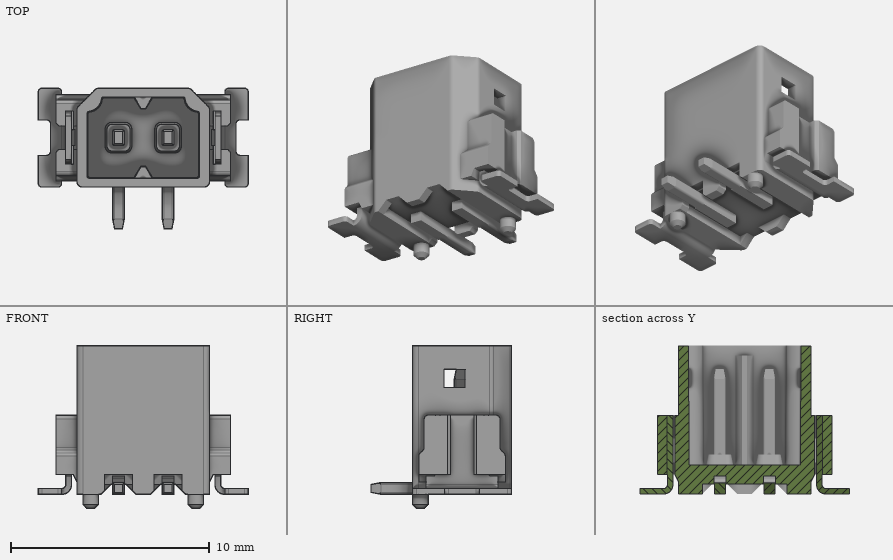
import cadquery as cq
import math

SIDES = (-1, 1)
CUT_CLEARANCE = 1.0

body_length = 6.7
body_width = 5.0
body_height = 7.5
key_chamfer = 1.0
body_corner_radius = 0.3
half_length = body_length / 2
half_width = body_width / 2

floor_z = 1.5
mouth_half_length = 2.83
mouth_half_width = 2.05
wall_draft = 0.04
corner_bump_radius = 0.73
cavity_corner_radius = 0.1

rib_top_z = 7.0
rib_half_base = 0.45
rib_half_tip = 0.12
rib_depth = 0.57

window_width = 1.06
window_height = 0.9
window_center_y = -0.38
window_bottom_z = 5.4

pin_pitch = 2.5
pin_thickness = 0.6
leg_depth = 0.8
pin_top_z = 6.3
tail_end_y = -4.6
pin_edge_radius = 0.1
pin_taper_length = 0.5
pin_taper_inset = 0.1
pin_bend_radius = 0.2
pin_x_positions = [side * pin_pitch / 2 for side in SIDES]

pad_length = 1.35
pad_width = 1.55
pad_height = 0.5
pad_corner_radius = 0.35
pad_side_inset = 0.1

channel_depth = 0.5
channel_half_ceiling = 0.38
notch_width = 1.4
notch_height = 1.0
underside_wall_thickness = 0.5
recess_half_length = pin_pitch / 2 + channel_half_ceiling + channel_depth
tail_slot_height = 0.92

post_radius = 0.4
post_length = 0.7
post_tip_chamfer = 0.2
post_x = 2.65
post_y = post_radius - half_width

wing_outer_x = 4.4
wing_bottom_z = 1.0
wing_top_z = 4.0
wing_lower_half_width = 2.18
wing_upper_half_width = 1.91
wing_step_z = 2.02
wing_blend_radius = 0.2
gusset_bottom_z = 0.62

tab_thickness = 0.3
tab_outer_x = 3.91
tab_inner_x = tab_outer_x - tab_thickness
tab_half_width = 1.34
tab_shoulder_z = 0.92
tab_shoulder_half_width = 1.81
tab_tip_inset = 0.24
tab_tip_height = 0.5
tab_shoulder_flare = wing_bottom_z - tab_shoulder_z
tab_bend_radius = 0.2
foot_end_x = 5.3
foot_half_width = 2.5
foot_corner_radius = 0.2
foot_recess_half_width = 0.89
foot_recess_depth = 0.62
foot_recess_radius = 0.2
foot_start_x = tab_outer_x + tab_bend_radius
bump_half_width = 0.4
bump_height = 0.17
bump_bottom_z = 1.6
bump_top_z = 2.8
slot_inner_x = 3.53
opening_half_width = 0.59
opening_flare = 0.15


def block(x_range, y_range, z_range):
    """Box spanning the given ranges."""
    (x0, x1), (y0, y1), (z0, z1) = x_range, y_range, z_range
    corner = cq.Vector(x0, y0, z0)
    return cq.Workplane(cq.Solid.makeBox(x1 - x0, y1 - y0, z1 - z0, corner))


def shroud_block():
    """Outer block with the two polarising corners cut off on the +Y side."""
    return (
        cq.Workplane()
        .box(body_length, body_width, body_height, centered=(True, True, False))
        .edges("|Z and >Y")
        .chamfer(key_chamfer)
        .edges("|Z")
        .fillet(body_corner_radius)
    )


def wing_bar():
    """Stepped bar that runs through the shroud and ends as the two wings."""
    wing_step = wing_lower_half_width - wing_upper_half_width
    right_side = [
        (wing_lower_half_width, wing_bottom_z),
        (wing_lower_half_width, wing_step_z),
        (wing_upper_half_width, wing_step_z + wing_step),
        (wing_upper_half_width, wing_top_z),
    ]
    left_side = [(-y, z) for y, z in reversed(right_side)]
    rounded_edges = cq.selectors.BoxSelector(
        (-wing_outer_x, -half_width, wing_bottom_z + wing_blend_radius),
        (wing_outer_x, half_width, wing_top_z + wing_blend_radius),
    )
    bar = (
        cq.Workplane("YZ")
        .polyline(right_side + left_side)
        .close()
        .extrude(wing_outer_x, both=True)
        .edges("|X")
        .edges(rounded_edges)
        .fillet(wing_blend_radius)
    )
    gusset = (
        cq.Workplane("XZ")
        .polyline([
            (-slot_inner_x, wing_bottom_z),
            (-half_length, gusset_bottom_z),
            (half_length, gusset_bottom_z),
            (slot_inner_x, wing_bottom_z),
        ])
        .close()
        .extrude(wing_lower_half_width, both=True)
    )
    return bar.union(gusset)


def cavity_section(inset):
    """Cavity outline moved inward by the inset, with round bumps in the +Y corners."""
    x = mouth_half_length - inset
    y = mouth_half_width - inset
    return (
        cq.Sketch()
        .rect(2 * x, 2 * y)
        .push([(-x, y), (x, y)])
        .circle(corner_bump_radius, mode="s")
        .reset()
        .vertices()
        .fillet(cavity_corner_radius)
    )


def cavity():
    at_floor = cavity_section(wall_draft).moved(cq.Location(cq.Vector(0, 0, floor_z)))
    at_mouth = cavity_section(0).moved(cq.Location(cq.Vector(0, 0, body_height)))
    return cq.Workplane().placeSketch(at_floor, at_mouth).loft()


def guide_rib(side):
    """Tapered rib on the long wall of the given Y side, rooted inside the wall."""
    root_y = side * (mouth_half_width + half_width) / 2

    def outline(growth):
        base = rib_half_base + growth
        tip = rib_half_tip
        wall_y = side * mouth_half_width
        tip_y = side * (mouth_half_width - rib_depth - growth)
        left_half = [(-base, root_y), (-base, wall_y), (-tip, tip_y)]
        right_half = [(tip, tip_y), (base, wall_y), (base, root_y)]
        return left_half + right_half

    return (
        cq.Workplane()
        .workplane(offset=floor_z)
        .polyline(outline(wall_draft))
        .close()
        .workplane(offset=rib_top_z - floor_z)
        .polyline(outline(0))
        .close()
        .loft(ruled=True)
    )


def pin_pad(x):
    """Raised pad with sloping sides on the cavity floor."""
    draft_angle = math.degrees(math.atan(pad_side_inset / pad_height))
    outline = cq.Sketch().rect(pad_length, pad_width).vertices().fillet(pad_corner_radius)
    return (
        cq.Workplane(origin=(x, 0, floor_z))
        .placeSketch(outline)
        .extrude(pad_height, taper=draft_angle)
    )


def underside_recess():
    """Shallow recess between the -Y and +Y walls, under both pins."""
    recess_half_width = half_width - underside_wall_thickness
    return block(
        (-recess_half_length, recess_half_length),
        (-recess_half_width, recess_half_width),
        (0, channel_depth),
    )


def tail_clearance(x):
    """Channel through the -Y and +Y walls, notch in the -Y wall and slot for the pin bend."""
    channel_half_mouth = channel_half_ceiling + channel_depth
    channel = (
        cq.Workplane("XZ")
        .polyline([
            (x - channel_half_mouth, 0),
            (x + channel_half_mouth, 0),
            (x + channel_half_ceiling, channel_depth),
            (x - channel_half_ceiling, channel_depth),
        ])
        .close()
        .extrude(half_width + CUT_CLEARANCE, both=True)
    )
    notch = block(
        (x - notch_width / 2, x + notch_width / 2),
        (-half_width - CUT_CLEARANCE, underside_wall_thickness - half_width),
        (0, notch_height),
    )
    bend_slot = block(
        (x - pin_thickness / 2, x + pin_thickness / 2),
        (-half_width, -leg_depth / 2),
        (0, tail_slot_height),
    )
    return channel.union(notch).union(bend_slot)


def locating_post(x):
    return (
        cq.Workplane(origin=(x, post_y, 0))
        .circle(post_radius)
        .extrude(-post_length)
        .faces("<Z")
        .chamfer(post_tip_chamfer)
    )


def tab_slot():
    """Slot for a solder tab in the +X wing, open to the outside and to the shroud wall."""
    z_range = (0, wing_top_z + CUT_CLEARANCE)
    slot = block((slot_inner_x, tab_outer_x), (-tab_half_width, tab_half_width), z_range)
    inner_gap = block(
        (half_length, slot_inner_x),
        (-opening_half_width, opening_half_width),
        (wing_bottom_z, wing_top_z + CUT_CLEARANCE),
    )
    flare_half_width = opening_half_width + opening_flare
    opening = (
        cq.Workplane()
        .polyline([
            (tab_outer_x, -opening_half_width),
            (wing_outer_x - opening_flare, -opening_half_width),
            (wing_outer_x, -flare_half_width),
            (wing_outer_x, flare_half_width),
            (wing_outer_x - opening_flare, opening_half_width),
            (tab_outer_x, opening_half_width),
        ])
        .close()
        .extrude(wing_top_z + CUT_CLEARANCE)
    )
    return slot.union(inner_gap).union(opening)


def tapered_bar(width, depth, length):
    """Bar along Z with rounded long edges and its upper end drawn in on all four sides."""
    bar = (
        cq.Workplane()
        .box(width, depth, length, centered=(True, True, False))
        .edges("|Z")
        .fillet(pin_edge_radius)
    )
    straight = cq.Workplane().box(
        width, depth, length - pin_taper_length, centered=(True, True, False)
    )
    tip = (
        straight.faces(">Z")
        .workplane()
        .rect(width, depth)
        .workplane(offset=pin_taper_length)
        .rect(width - 2 * pin_taper_inset, depth - 2 * pin_taper_inset)
        .loft(combine=False)
    )
    return bar.intersect(straight.union(tip))


def make_pin(x):
    """Right-angle pin: upright leg at Y = 0 and a tail along -Y resting on the board plane."""
    half_thickness = pin_thickness / 2
    front_wall_y = underside_wall_thickness - half_width
    leg_front_y = -leg_depth / 2
    elbow = (
        cq.Workplane("YZ")
        .moveTo(front_wall_y, 0)
        .lineTo(leg_depth / 2, 0)
        .lineTo(leg_depth / 2, floor_z)
        .lineTo(leg_front_y, floor_z)
        .lineTo(leg_front_y, pin_thickness + pin_bend_radius)
        .radiusArc((leg_front_y - pin_bend_radius, pin_thickness), pin_bend_radius)
        .lineTo(front_wall_y, pin_thickness)
        .close()
        .extrude(half_thickness, both=True)
    )
    leg = tapered_bar(pin_thickness, leg_depth, pin_top_z - floor_z).translate((0, 0, floor_z))
    tail = (
        tapered_bar(pin_thickness, pin_thickness, front_wall_y - tail_end_y)
        .rotate((0, 0, 0), (1, 0, 0), 90)
        .translate((0, front_wall_y, half_thickness))
    )
    return elbow.union(leg).union(tail).translate((x, 0, 0))


def make_tab():
    """Solder tab of the +X wing: upright plate, wider bend and flat board foot."""
    bend_center_z = tab_thickness + tab_bend_radius
    right_side = [
        (tab_half_width + tab_shoulder_flare, tab_shoulder_z),
        (tab_half_width, wing_bottom_z),
        (tab_half_width, wing_top_z - tab_tip_height),
        (tab_half_width - tab_tip_inset, wing_top_z),
    ]
    left_side = [(-y, z) for y, z in reversed(right_side)]
    plate = (
        cq.Workplane("YZ", origin=(tab_inner_x, 0, 0))
        .polyline(right_side + left_side)
        .close()
        .extrude(tab_thickness)
    )
    bend = (
        cq.Workplane("XZ")
        .moveTo(tab_inner_x, tab_shoulder_z)
        .lineTo(tab_inner_x, bend_center_z)
        .radiusArc((foot_start_x, 0), -(tab_bend_radius + tab_thickness))
        .lineTo(foot_start_x, tab_thickness)
        .radiusArc((tab_outer_x, bend_center_z), tab_bend_radius)
        .lineTo(tab_outer_x, tab_shoulder_z)
        .close()
        .extrude(tab_shoulder_half_width, both=True)
    )
    foot = block((foot_start_x, foot_end_x), (-foot_half_width, foot_half_width), (0, tab_thickness))
    foot = foot.edges("|Z").fillet(foot_corner_radius)
    recess = block(
        (foot_end_x - foot_recess_depth, foot_end_x + CUT_CLEARANCE),
        (-foot_recess_half_width, foot_recess_half_width),
        (0, tab_thickness),
    )
    recess = recess.edges("|Z and <X").fillet(foot_recess_radius)
    bump = block(
        (tab_inner_x - bump_height, tab_inner_x),
        (-bump_half_width, bump_half_width),
        (bump_bottom_z, bump_top_z),
    )
    return plate.union(bend).union(foot.cut(recess)).union(bump)


def to_side(shape, side):
    """Copy of a shape made for the +X end, mirrored for the -X end."""
    return shape if side > 0 else shape.mirror("YZ")


def make_housing(pins):
    housing = shroud_block().union(wing_bar()).cut(cavity()).cut(underside_recess())
    window = block(
        (-half_length - CUT_CLEARANCE, half_length + CUT_CLEARANCE),
        (window_center_y - window_width / 2, window_center_y + window_width / 2),
        (window_bottom_z, window_bottom_z + window_height),
    )
    housing = housing.cut(window)
    for side in SIDES:
        housing = housing.union(guide_rib(side))
        housing = housing.union(locating_post(side * post_x))
        housing = housing.cut(to_side(tab_slot(), side))
    for x, pin in zip(pin_x_positions, pins):
        housing = housing.union(pin_pad(x)).cut(tail_clearance(x)).cut(pin)
    return housing


pins = [make_pin(x) for x in pin_x_positions]
tabs = [to_side(make_tab(), side) for side in SIDES]
housing = make_housing(pins)

result = cq.Compound.makeCompound(
    [body.solids().val() for body in [housing, *pins, *tabs]]
)